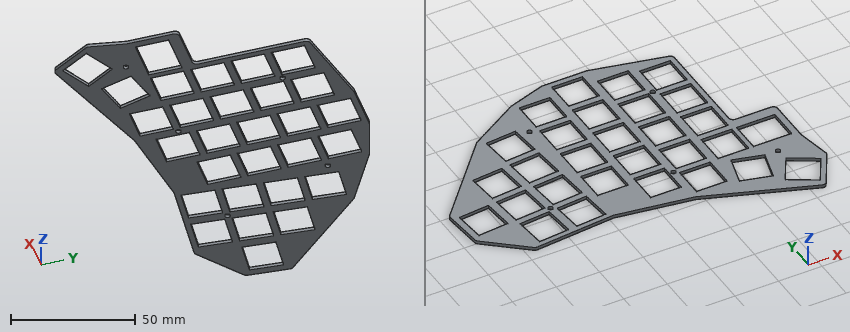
import cadquery as cq

thickness = 1.5
corner_radius = 2.0
screw_hole_diameter = 2.1

cutout_size = 14.0
wide_cutout_width = 17.5
column_pitch = 18.0
five_row_span = 68.0
row_pitch = five_row_span / 4

straight_start_x = -10.4
straight_columns = [
    (40.4, 4),
    (45.9, 5),
    (40.4, 5),
    (38.0, 4),
]

tilt_angle = 5
tilted_origin = (-28.0, -23.5)
tilted_columns = [
    (0, 4),
    (0, 3),
    (1, 1),
]

thumb_keys = [
    ((45.5, -32.0), -15),
    ((63.1, -42.5), -30),
]

screw_holes = [
    (-21.3, 31.9),
    (34.6, 30.6),
    (-38.0, -15.7),
    (16.6, -19.0),
    (60.0, -27.3),
]

outline = [
    (-2.6, 55.5),
    (18.1, 55.5),
    (53.0, 47.4),
    (53.0, -1.0),
    (73.3, -1.0),
    (73.3, -22.7),
    (76.4, -38.4),
    (66.3, -56.0),
    (16.6, -37.5),
    (-18.1, -32.0),
    (-55.6, -35.4),
    (-74.5, -19.8),
    (-76.2, -0.8),
    (-43.3, 36.0),
    (-19.7, 50.0),
]


def make_plate():
    """Flat plate with every outline corner rounded."""
    plate = cq.Workplane("XY").polyline(outline).close().extrude(thickness)
    return plate.edges("|Z").fillet(corner_radius)


def cutout(center, angle=0, width=cutout_size):
    """Prism that cuts one key opening, turned about its own centre."""
    prism = cq.Workplane("XY").rect(width, cutout_size).extrude(thickness)
    return prism.rotate((0, 0, 0), (0, 0, 1), angle).translate((*center, 0))


def straight_cutouts():
    """Upright columns, plus the wide key beside the lowest key of the last one."""
    cutters = []
    for column, (top_y, key_count) in enumerate(straight_columns):
        x = straight_start_x + column * column_pitch
        for row in range(key_count):
            y = top_y - row * row_pitch
            cutters.append(cutout((x, y)))
    cutters.append(cutout((x + column_pitch, y), width=wide_cutout_width))
    return cutters


def tilted_cutouts():
    """Outer columns, laid out on a grid that leans with the keys."""
    grid = cq.Plane(origin=(*tilted_origin, 0)).rotated((0, 0, tilt_angle))
    cutters = []
    for column, (first_row, key_count) in enumerate(tilted_columns):
        for row in range(first_row, first_row + key_count):
            center = grid.toWorldCoords((-column * column_pitch, row * row_pitch))
            cutters.append(cutout((center.x, center.y), tilt_angle))
    return cutters


def thumb_cutouts():
    return [cutout(center, angle) for center, angle in thumb_keys]


result = make_plate()
for cutter in straight_cutouts() + tilted_cutouts() + thumb_cutouts():
    result = result.cut(cutter)

screws = cq.Workplane("XY").pushPoints(screw_holes).circle(screw_hole_diameter / 2).extrude(thickness)
result = result.cut(screws)